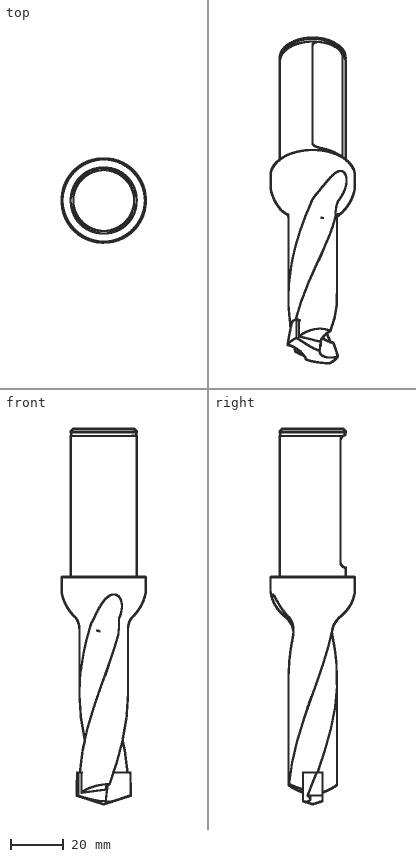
import cadquery as cq
import math

TOTAL_LENGTH = 142
SHANK_RADIUS = 25.0 / 2
SHANK_TOP_CHAMFER = 1.0
GROOVE_TOP_Z = 140.6
GROOVE_BOTTOM_Z = 139.3
GROOVE_DEPTH = 0.3
COLLAR_RADIUS = 32.0 / 2
COLLAR_TOP_Z = 86.2
COLLAR_BOTTOM_Z = 80.2
COLLAR_CHAMFER = 0.4
BOWL_BOTTOM_RADIUS = 10.5
BOWL_BOTTOM_Z = 70.5
BOWL_MID_RADIUS = 14.3
BOWL_MID_Z = 75.4
NECK_MID_RADIUS = 9.7
NECK_MID_Z = 68.7
BODY_RADIUS = 9.2
NECK_BOTTOM_Z = 66.2

FLAT_Y = 10.5
FLAT_TOP_Z = 137.5
FLAT_BOTTOM_Z = 91.6
FLAT_END_RADIUS = 4.3 / 2

END_HEIGHT = 4.1
END_SLOPE_Y = 0.37
END_SLOPE_X = 0.13

INSERT_RADIUS = 10.2
INSERT_THICKNESS = 7.4
INSERT_TOP_Z = 12.0
POINT_HEIGHT = 3.3

FLUTE_COUNT = 2
FLUTE_RADIUS = 5.7
FLUTE_AXIS_RADIUS = 8.8
FLUTE_PITCH = 161.9
FLUTE_TOP_Z = 64.9
FLUTE_BOTTOM_Z = -7.1
RUNOUT_BEND_RADIUS = 7.4
RUNOUT_BEND_ANGLE = 44
RUNOUT_DRIFT_ANGLE = 5
CLEARANCE = 28.4

HELIX_ANGLE = math.degrees(math.atan(2 * math.pi * FLUTE_AXIS_RADIUS / FLUTE_PITCH))


def make_blank():
    """Turned shape of shank, collar and neck."""
    groove_middle_z = (GROOVE_TOP_Z + GROOVE_BOTTOM_Z) / 2
    return (
        cq.Workplane("XZ")
        .lineTo(BODY_RADIUS, 0)
        .lineTo(BODY_RADIUS, NECK_BOTTOM_Z)
        .threePointArc((NECK_MID_RADIUS, NECK_MID_Z), (BOWL_BOTTOM_RADIUS, BOWL_BOTTOM_Z))
        .threePointArc((BOWL_MID_RADIUS, BOWL_MID_Z), (COLLAR_RADIUS, COLLAR_BOTTOM_Z))
        .lineTo(COLLAR_RADIUS, COLLAR_TOP_Z - COLLAR_CHAMFER)
        .lineTo(COLLAR_RADIUS - COLLAR_CHAMFER, COLLAR_TOP_Z)
        .lineTo(SHANK_RADIUS, COLLAR_TOP_Z)
        .lineTo(SHANK_RADIUS, GROOVE_BOTTOM_Z)
        .threePointArc((SHANK_RADIUS - GROOVE_DEPTH, groove_middle_z), (SHANK_RADIUS, GROOVE_TOP_Z))
        .lineTo(SHANK_RADIUS, TOTAL_LENGTH - SHANK_TOP_CHAMFER)
        .lineTo(SHANK_RADIUS - SHANK_TOP_CHAMFER, TOTAL_LENGTH)
        .lineTo(0, TOTAL_LENGTH)
        .close()
        .revolve(360, (0, 0, 0), (0, 1, 0))
    )


def make_flat_cutter():
    """Block that cuts the clamping flat, with rounded ends."""
    height = FLAT_TOP_Z - FLAT_BOTTOM_Z + 2 * FLAT_END_RADIUS
    return (
        cq.Workplane("XY")
        .box(2 * CLEARANCE, CLEARANCE, height, centered=(True, False, False))
        .edges("|X and <Y")
        .fillet(FLAT_END_RADIUS)
        .translate((0, FLAT_Y, FLAT_BOTTOM_Z - FLAT_END_RADIUS))
    )


def make_end_cutter(turn):
    """Wedge that cuts one slope of the roof-shaped lower end."""
    normal = cq.Vector(END_SLOPE_X, -END_SLOPE_Y, -1)
    plane = cq.Plane(origin=(0, 0, END_HEIGHT), xDir=(1, 0, END_SLOPE_X), normal=normal)
    half_space = cq.Workplane(plane).rect(2 * CLEARANCE, 2 * CLEARANCE).extrude(CLEARANCE)
    front_half = cq.Workplane("XY").box(
        2 * CLEARANCE, CLEARANCE, 2 * CLEARANCE, centered=(True, False, True)
    ).translate((0, -CLEARANCE, 0))
    return half_space.intersect(front_half).rotate((0, 0, 0), (0, 0, 1), turn)


def u_profile(plane, depth):
    """Channel section: round floor with straight walls up to the given depth."""
    return (
        cq.Workplane(plane)
        .moveTo(-FLUTE_RADIUS, depth)
        .lineTo(-FLUTE_RADIUS, FLUTE_RADIUS)
        .threePointArc((0, 0), (FLUTE_RADIUS, FLUTE_RADIUS))
        .lineTo(FLUTE_RADIUS, depth)
        .close()
    )


def make_flute():
    """Cutting volumes of one flute: helix, bend and straight run-out."""
    length = FLUTE_TOP_Z - FLUTE_BOTTOM_Z
    start_angle = -90 - 360 * length / FLUTE_PITCH
    path = cq.Wire.makeHelix(FLUTE_PITCH, length, FLUTE_AXIS_RADIUS)
    start_plane = cq.Plane(
        origin=(FLUTE_AXIS_RADIUS, 0, 0),
        xDir=(1, 0, 0),
        normal=(0, math.sin(math.radians(HELIX_ANGLE)), math.cos(math.radians(HELIX_ANGLE))),
    )
    helix = (
        cq.Workplane(start_plane)
        .circle(FLUTE_RADIUS)
        .sweep(cq.Workplane(path), isFrenet=True)
        .rotate((0, 0, 0), (0, 0, 1), start_angle)
        .translate((0, 0, FLUTE_BOTTOM_Z))
    )

    floor_radius = FLUTE_AXIS_RADIUS - FLUTE_RADIUS
    bend_y = -floor_radius - RUNOUT_BEND_RADIUS
    start = cq.Plane(origin=(0, -floor_radius, FLUTE_TOP_Z), xDir=(-1, 0, 0), normal=(0, 0, 1))
    bend = u_profile(start, RUNOUT_BEND_RADIUS).revolve(
        RUNOUT_BEND_ANGLE, (0, RUNOUT_BEND_RADIUS, 0), (-1, RUNOUT_BEND_RADIUS, 0)
    )
    section = u_profile(start, CLEARANCE).val()
    drift = CLEARANCE * math.tan(math.radians(RUNOUT_DRIFT_ANGLE))
    straight = (
        cq.Workplane(cq.Solid.extrudeLinear(section, [], cq.Vector(drift, 0, CLEARANCE)))
        .rotate((0, bend_y, FLUTE_TOP_Z), (1, bend_y, FLUTE_TOP_Z), RUNOUT_BEND_ANGLE)
    )
    pivot = (0, 0, FLUTE_TOP_Z)
    tilted = [part.rotate(pivot, (0, 1, FLUTE_TOP_Z), HELIX_ANGLE) for part in (bend, straight)]
    return [helix, *tilted]


def cut_flutes(body):
    """Cut both flutes, evenly spaced around the axis."""
    for index in range(FLUTE_COUNT):
        turn = index * 360 / FLUTE_COUNT
        for cutter in make_flute():
            body = body.cut(cutter.rotate((0, 0, 0), (0, 0, 1), turn))
    return body


def make_insert_plate():
    """Flat plate that fills the insert slot."""
    return cq.Workplane("XY").box(
        2 * CLEARANCE, INSERT_THICKNESS, INSERT_TOP_Z, centered=(True, True, False)
    )


def make_holder():
    """Shank and fluted body, slotted for the insert."""
    holder = make_blank().cut(make_flat_cutter())
    for index in range(FLUTE_COUNT):
        holder = holder.cut(make_end_cutter(index * 360 / FLUTE_COUNT))
    holder = holder.cut(make_insert_plate())
    return cut_flutes(holder)


def make_insert():
    """Pointed insert, cut by the same flutes as the holder."""
    pointed = (
        cq.Workplane("XZ")
        .lineTo(INSERT_RADIUS, POINT_HEIGHT)
        .lineTo(INSERT_RADIUS, INSERT_TOP_Z)
        .lineTo(0, INSERT_TOP_Z)
        .close()
        .revolve(360, (0, 0, 0), (0, 1, 0))
    )
    return cut_flutes(pointed.intersect(make_insert_plate()))


holder = make_holder()
insert = make_insert()
result = cq.Compound.makeCompound([holder.val(), insert.val()])